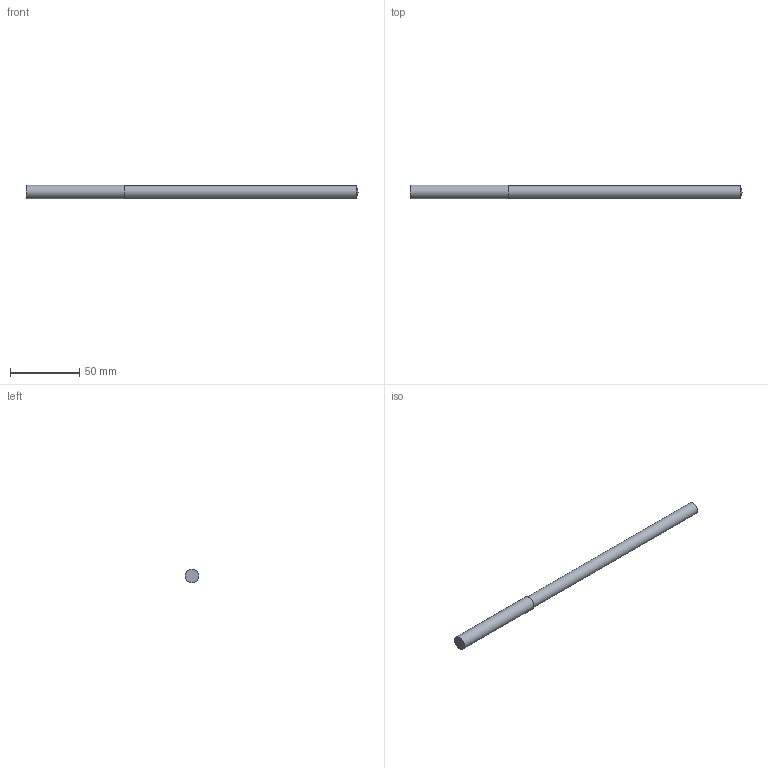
import cadquery as cq
import math

overall_length = 240.0
shank_diameter = 10.0
shank_length = 71.0
body_diameter = 9.0
point_angle = 150.0

shank_radius = shank_diameter / 2
body_radius = body_diameter / 2
tip_length = body_radius / math.tan(math.radians(point_angle / 2))
tip_start = overall_length - tip_length


def make_tool():
    """Revolve the half profile of shank, body and conical tip about the X axis."""
    profile = (
        cq.Workplane("XY")
        .lineTo(0, shank_radius)
        .lineTo(shank_length, shank_radius)
        .lineTo(shank_length, body_radius)
        .lineTo(tip_start, body_radius)
        .lineTo(overall_length, 0)
        .close()
    )
    return profile.revolve(360, (0, 0, 0), (1, 0, 0))


result = make_tool()